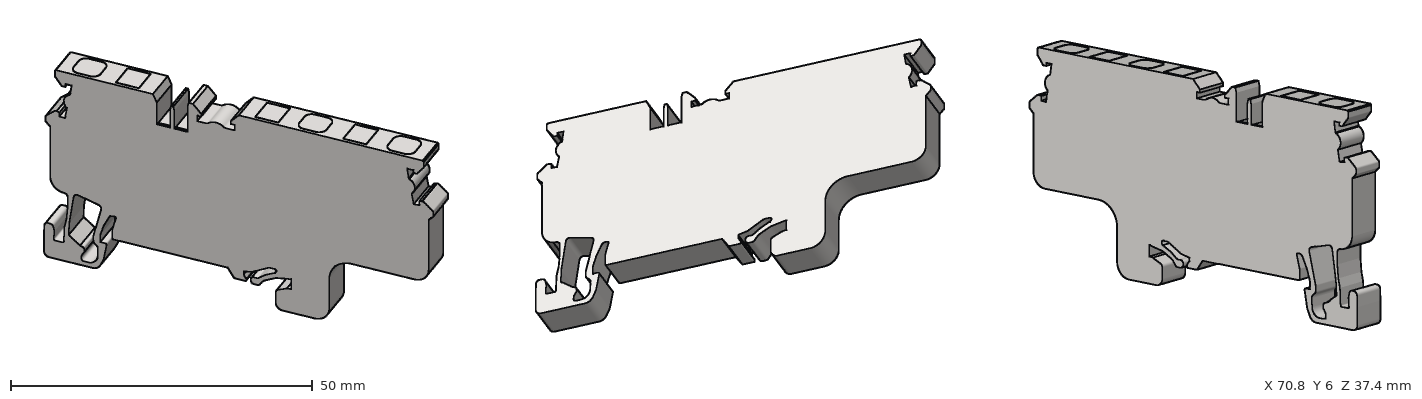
import cadquery as cq
import math

height = 37.4
thickness = 6.0

body_left = 1.1
body_right = 69.95
mirror_x = (body_left + body_right) / 2
shoulder_z = 13.45
shoulder_radius = 2.55

skirt_left = 12.45
skirt_right = 51.9
skirt_z = 6.65
skirt_top_radius = 4.05

hook_left = 42.1
hook_z = 0.85
hook_outer_radius = 2.7
hook_inner_radius = 1.3
catch_right = 36.3

overlap = 0.4

seat_bump_x = 5.25
seat_bump_z = 31.6
seat_bump_radius = 1.6
marker_edge_x = 2.0
marker_edge_chamfer = 0.2
nose_tip_x = 0.3
nose_back_x = 2.8
nose_bottom_z = 25.9

bridge_left = 20.5
bridge_right = 26.1
bridge_floor_z = 31.6
bridge_lead_in = 0.7
bridge_lead_depth = 1.5
prong_chamfer_width = 0.2
prong_chamfer_depth = 0.85
blade_left = 22.95
blade_right = 23.7
blade_top_z = 35.9
blade_tip_height = 0.8
blade_tip_inset = 0.18

groove_x = 31.3
groove_floor_z = 34.2
groove_half_width = 3.4
lip_half_width = 2.7
lip_low_z = 35.25
lip_high_z = 35.8
groove_mouth_half_width = 4.2
groove_bump_radius = 2.2
groove_bump_fillet = 0.8
groove_bump_rise = 0.65

window_depth = 0.1
window_length_y = 4.75
window_y = 0.1
wire_window_width = 4.95
wire_window_radius = 1.35
wire_window_x = 6.95
tool_window_width = 4.2
tool_window_x = 14.9
inner_wire_window_x = 48.0
inner_tool_window_x = 40.2
slot_window_length_y = 4.9


def rounded_outline(corners):
    """Closed XZ outline; each corner is (x, z) or (x, z, radius of its rounding)."""
    outline = None
    count = len(corners)
    for index, corner in enumerate(corners):
        x, z = corner[:2]
        radius = corner[2] if len(corner) == 3 else 0
        if radius == 0:
            path = [(x, z)]
        else:
            before = corners[index - 1]
            after = corners[(index + 1) % count]
            angle_in = math.atan2(before[1] - z, before[0] - x)
            angle_out = math.atan2(after[1] - z, after[0] - x)
            half = abs(math.remainder(angle_out - angle_in, math.tau)) / 2
            middle = angle_in + math.remainder(angle_out - angle_in, math.tau) / 2
            setback = radius / math.tan(half)
            depth = radius / math.sin(half) - radius
            path = [
                (x + setback * math.cos(angle_in), z + setback * math.sin(angle_in)),
                (x + depth * math.cos(middle), z + depth * math.sin(middle)),
                (x + setback * math.cos(angle_out), z + setback * math.sin(angle_out)),
            ]
        if outline is None:
            outline = cq.Workplane("XZ").moveTo(*path[0])
        else:
            outline = outline.lineTo(*path[0])
        if len(path) == 3:
            outline = outline.threePointArc(path[1], path[2])
    return outline.close()


def plate(corners):
    """Full-thickness plate with the given XZ outline."""
    return rounded_outline(corners).extrude(thickness / 2, both=True)


def rod(x, z, radius):
    """Full-thickness cylinder along Y."""
    return cq.Workplane("XZ").center(x, z).circle(radius).extrude(thickness / 2, both=True)


def mirrored(solid):
    """Copy of a left-end shape placed at the right end."""
    return solid.mirror("YZ", (mirror_x, 0, 0))


def body():
    """Main plate with its skirt and the hook that grips the right rail edge."""
    return plate([
        (body_left, height),
        (body_left, shoulder_z, shoulder_radius),
        (skirt_left, shoulder_z),
        (skirt_left, skirt_z, 0.2),
        (hook_left, skirt_z),
        (hook_left, hook_z, hook_inner_radius),
        (skirt_right, hook_z, hook_outer_radius),
        (skirt_right, shoulder_z, skirt_top_radius),
        (body_right, shoulder_z, shoulder_radius),
        (body_right, height),
    ])


def marker_seat():
    """Space removed from the left end to seat an upright marker."""
    recess = plate([
        (0, height + overlap),
        (marker_edge_x + marker_edge_chamfer, height + overlap),
        (marker_edge_x + marker_edge_chamfer, height),
        (marker_edge_x, height - marker_edge_chamfer),
        (marker_edge_x, 36.1, 0.3),
        (3.25, 34.5, 0.2),
        (3.9, 34.5),
        (3.9, 35.05),
        (5.0, 35.05),
        (4.75, 33.2),
        (4.25, 32.7),
        (4.2, 30.15),
        (3.8, 28.3),
        (nose_back_x, 28.4),
        (nose_back_x, 29.2),
        (2.35, 29.3),
        (0, 27.4),
    ])
    return recess.cut(rod(seat_bump_x, seat_bump_z, seat_bump_radius))


def marker_nose():
    """Latch nose that projects from the left end below the marker seat."""
    return plate([
        (nose_back_x, 28.4),
        (nose_back_x, 29.2),
        (2.05, 29.3, 0.3),
        (nose_tip_x, 27.8, 0.4),
        (nose_tip_x, 26.75, 0.2),
        (body_left, nose_bottom_z),
        (nose_back_x, nose_bottom_z),
    ])


def bridge_slots():
    """Pair of slots with a chamfered entry, parted by a thin blade."""
    opening = plate([
        (bridge_left - bridge_lead_in, height),
        (bridge_left, height - bridge_lead_depth),
        (bridge_left, bridge_floor_z),
        (bridge_right, bridge_floor_z),
        (bridge_right, height - prong_chamfer_depth),
        (bridge_right + prong_chamfer_width, height),
    ])
    blade = plate([
        (blade_left, bridge_floor_z),
        (blade_left, blade_top_z - blade_tip_height),
        (blade_left + blade_tip_inset, blade_top_z),
        (blade_right - blade_tip_inset, blade_top_z),
        (blade_right, blade_top_z - blade_tip_height),
        (blade_right, bridge_floor_z),
    ])
    return opening.cut(blade)


def middle_groove():
    """Undercut groove with a domed floor."""
    right_side = [
        (groove_half_width, groove_floor_z),
        (groove_half_width, lip_low_z),
        (lip_half_width, lip_low_z),
        (lip_half_width, lip_high_z),
        (groove_mouth_half_width, height),
    ]
    corners = [(groove_x + x, z) for x, z in right_side]
    corners += [(groove_x - x, z) for x, z in reversed(right_side)]
    dome = rod(groove_x, groove_floor_z + groove_bump_rise - groove_bump_radius, groove_bump_radius)
    groove = plate(corners).cut(dome)
    dome_edges = cq.selectors.BoxSelector(
        (groove_x - lip_half_width, -thickness, groove_floor_z - overlap / 2),
        (groove_x + lip_half_width, thickness, groove_floor_z + overlap / 2),
    )
    return groove.edges("|Y").edges(dome_edges).fillet(groove_bump_fillet)


def window(x, z, width, length):
    """Shallow rectangular recess in a face at height z."""
    return cq.Workplane("XY").box(width, length, window_depth).translate((x, 0, z - window_depth / 2))


def top_windows():
    """Square-cornered tool windows and round-cornered wire windows along the top."""
    wire_places = [wire_window_x, inner_wire_window_x, 2 * mirror_x - wire_window_x]
    tool_places = [tool_window_x, inner_tool_window_x, 2 * mirror_x - tool_window_x]
    cutter = cq.Workplane("XY")
    for x in wire_places:
        opening = window(x, height, wire_window_width, window_length_y)
        cutter = cutter.add(opening.edges("|Z").fillet(wire_window_radius))
    for x in tool_places:
        cutter = cutter.add(window(x, height, tool_window_width, window_length_y))
    return cutter.combine().translate((0, window_y, 0))


def slot_windows():
    """Recesses across the floors of the two bridge slots."""
    cutter = cq.Workplane("XY")
    for left, right in [(bridge_left, blade_left), (blade_right, bridge_right)]:
        cutter = cutter.add(
            window((left + right) / 2, bridge_floor_z, right - left, slot_window_length_y)
        )
    return cutter.combine()


gap_flank = [
    (10.3, 6.95, 1.05),
    (10.8, 8.8, 2.8),
    (12.05, 11.25, 0.85),
    (13.2, 11.25, 0.3),
]


def spring_foot():
    """Left foot, a claw hung on two slender legs, and the opening between the legs."""
    foot = plate([
        (3.2, shoulder_z + overlap),
        (3.2, shoulder_z),
        (4.3, shoulder_z, 0.65),
        (4.3, 10.7),
        (4.1, 8.35),
        (3.75, 6.8),
        (3.6, 3.6, 0.3),
        (1.8, 3.6, 0.3),
        (1.9, 5.4),
        (1.6, 6.7, 0.65),
        (0.1, 6.7, 0.7),
        (0, 4.1),
        (0, 0, 1.0),
        (9.85, 0, 1.55),
        (10.8, 2.1, 1.05),
        (11.5, 5.5, 0.3),
        (10.3, 5.5),
        *gap_flank,
        (skirt_left, shoulder_z + overlap),
    ])
    opening = plate([
        (5.5, 13.9, 0.7),
        (10.55, 12.6, 0.65),
        (9.0, 6.4, 0.7),
        (9.0, 5.2, 0.4),
        (9.85, 4.4, 0.7),
        (9.7, 0.9, 1.7),
        (6.7, 0.9, 0.5),
        (6.9, 2.0, 0.3),
        (7.35, 2.75, 0.3),
        (7.3, 3.6, 0.35),
        (6.6, 3.8),
        (4.5, 5.4),
        (4.6, 7.65),
    ])
    return foot, opening


def foot_gap():
    """Tapering gap between the spring foot and the skirt."""
    return plate([
        (skirt_left, skirt_z - overlap),
        (skirt_left, 8.65),
        *reversed(gap_flank),
        (10.3, skirt_z - overlap),
    ])


def rail_catch():
    """Small tapered rib below the skirt."""
    return plate([
        (33.4, skirt_z),
        (34.6, 4.9),
        (36.8, 4.9, 0.2),
        (36.8, 5.3),
        (catch_right, 6.1),
        (catch_right, skirt_z),
    ])


def hook_mouth():
    """Opening between the skirt and the hook."""
    return plate([
        (catch_right, 5.95),
        (catch_right, 6.7, 0.2),
        (38.0, 7.1),
        (40.9, 8.7, 1.05),
        (42.6, 8.7, 0.35),
        (42.0, 7.85),
        (44.95, 7.5),
        (44.95, 5.5),
        (44.2, 5.45),
        (hook_left, 4.5, 0.65),
        (hook_left, 3.55),
        (catch_right, 3.55),
    ])


def spring_tongue():
    """Curved tongue that reaches down into the hook opening."""
    return plate([
        (42.0, 7.9),
        (40.3, 7.1, 2.8),
        (38.9, 6.0, 0.35),
        (37.6, 6.0, 0.6),
        (37.6, 4.7, 0.65),
        (39.1, 4.7, 0.6),
        (39.9, 5.8, 1.4),
        (42.1, 6.95, 2.1),
        (45.0, 7.5),
        (45.0, 7.9),
    ])


foot, foot_opening = spring_foot()
seat = marker_seat()
nose = marker_nose()

result = body().cut(seat).cut(mirrored(seat)).union(nose).union(mirrored(nose))
result = result.cut(bridge_slots()).cut(middle_groove()).cut(top_windows()).cut(slot_windows())
result = result.cut(foot_gap()).union(foot).cut(foot_opening)
result = result.cut(hook_mouth()).union(rail_catch()).union(spring_tongue())